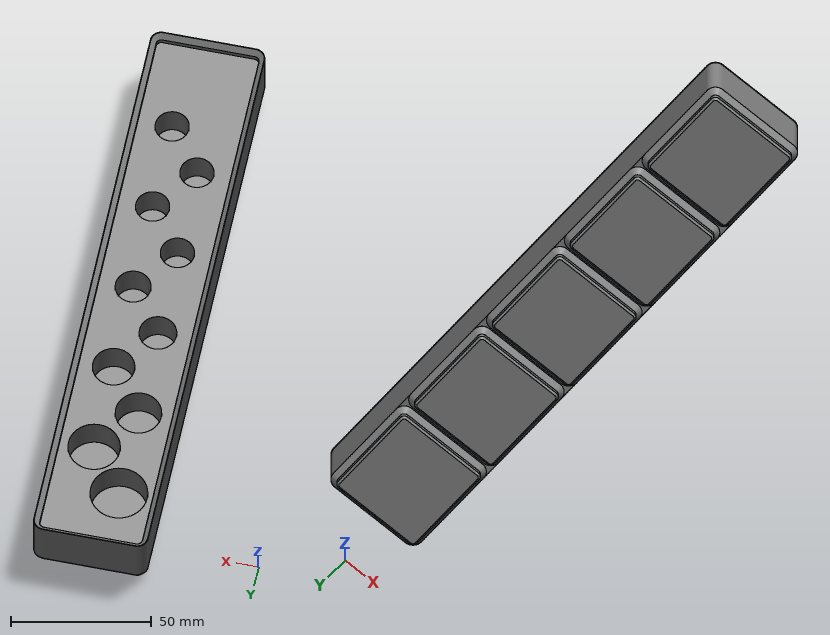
import cadquery as cq

length = 209.5
width = 41.5
height = 24.7
corner_radius = 4.0

foot_count = 5
foot_gap = 0.5
foot_tip_height = 0.8
foot_neck_height = 1.8
foot_shoulder_height = 2.0
foot_height = foot_tip_height + foot_neck_height + foot_shoulder_height
foot_length = (length - (foot_count - 1) * foot_gap) / foot_count
foot_pitch = foot_length + foot_gap

rim_width = 0.2
lip_chamfer = 1.9
lip_wall_height = 1.9
lip_height = lip_chamfer + lip_wall_height
floor_height = height - lip_height

socket_diameters = [20.5, 18.6, 16.5, 15.0, 13.5, 12.8, 12.2, 12.2, 12.2, 12.2]
socket_depth = 12.5
first_socket_y = 82.3
last_socket_y = -69.5
socket_pitch = (first_socket_y - last_socket_y) / (len(socket_diameters) - 1)
column_offset = 6.3


def rounded_prism(size_x, size_y, radius, bottom, tall):
    """Upright block with rounded vertical corners, centred on the Z axis."""
    return (
        cq.Workplane("XY", origin=(0, 0, bottom))
        .rect(size_x, size_y)
        .extrude(tall)
        .edges("|Z")
        .fillet(radius)
    )


def make_foot():
    """One foot at Y = 0: chamfered tip, straight neck and a shoulder flaring out to the body outline."""
    neck_height = foot_tip_height + foot_neck_height
    neck_width = width - 2 * foot_shoulder_height
    neck_length = foot_length - 2 * foot_shoulder_height
    neck_radius = corner_radius - foot_shoulder_height
    neck = rounded_prism(neck_width, neck_length, neck_radius, 0, neck_height)
    neck = neck.faces("<Z").chamfer(foot_tip_height)

    shoulder = rounded_prism(width, foot_length, corner_radius, neck_height, 2 * foot_shoulder_height)
    shoulder = shoulder.faces("<Z").chamfer(foot_shoulder_height)
    return neck.union(shoulder)


def make_lip_recess():
    """Space inside the stacking lip, wide at the rim and narrower from the chamfer down."""
    mouth_inset = rim_width
    wall_inset = rim_width + lip_chamfer
    chamfer_bottom = height - lip_chamfer
    well = rounded_prism(
        width - 2 * wall_inset,
        length - 2 * wall_inset,
        corner_radius - wall_inset,
        floor_height,
        lip_height,
    )

    mouth = rounded_prism(
        width - 2 * mouth_inset,
        length - 2 * mouth_inset,
        corner_radius - mouth_inset,
        chamfer_bottom,
        2 * lip_chamfer,
    )
    mouth = mouth.faces("<Z").chamfer(lip_chamfer)
    return well.union(mouth)


def make_socket(index, diameter):
    """Round hole blank standing on the socket bottom, placed in the left or right column by turns."""
    x = -column_offset if index % 2 == 0 else column_offset
    y = first_socket_y - index * socket_pitch
    return (
        cq.Workplane("XY", origin=(x, y, floor_height - socket_depth))
        .circle(diameter / 2)
        .extrude(socket_depth)
    )


block = rounded_prism(width, length, corner_radius, foot_height, height - foot_height)

foot = make_foot()
for foot_index in range(foot_count):
    foot_y = (foot_index - (foot_count - 1) / 2) * foot_pitch
    block = block.union(foot.translate((0, foot_y, 0)))

block = block.cut(make_lip_recess())

for socket_index, socket_diameter in enumerate(socket_diameters):
    block = block.cut(make_socket(socket_index, socket_diameter))

result = block